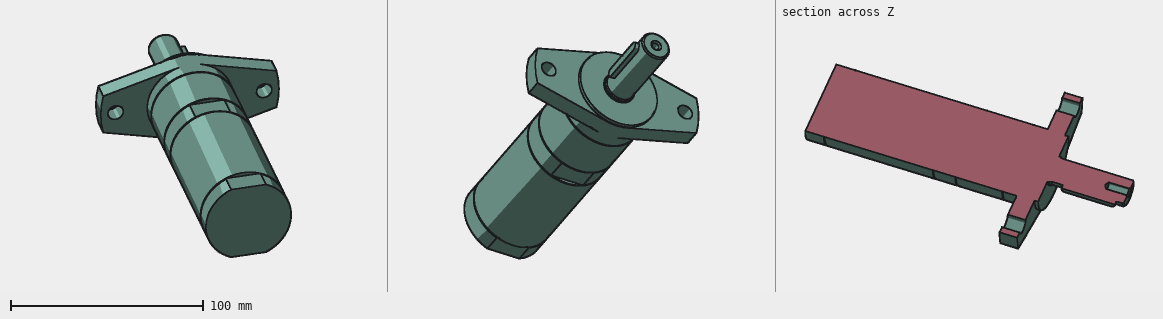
import cadquery as cq
import math

PILOT_START = 42.0
FLANGE_START = 44.0
FLANGE_END = 54.0
BODY_JOINT = 61.5
FRONT_FLATS_START = 88.0
FRONT_FLATS_END = 100.0
REAR_FLATS_START = 160.5
OVERALL_LENGTH = 171.5

BODY_DIAMETER = 46.0
PILOT_DIAMETER = 45.0
ACROSS_FLATS = 42.0
SEAM_WIDTH = 0.5
SEAM_DIAMETER = 45.8
SEAM_STARTS = [
    BODY_JOINT,
    FRONT_FLATS_START - SEAM_WIDTH,
    FRONT_FLATS_END,
    REAR_FLATS_START,
]

SHAFT_DIAMETER = 16.0
TIP_CHAMFER = 0.8
COLLAR_DIAMETER = 17.5
COLLAR_WIDTH = 1.0
COLLAR_TAPER = 1.0
TAPER_END_DIAMETER = 16.95
CENTER_HOLE_DIAMETER = 4.13
CENTER_HOLE_DEPTH = 12.0
DRILL_POINT_HALF_ANGLE = math.radians(59)
COUNTERSINK_DIAMETER = 5.9

KEY_WIDTH = 5.0
KEY_LENGTH = 30.0
KEY_START = 4.0
KEY_TOP = 10.2
KEY_HEIGHT = 5.0

FLANGE_DIAMETER = 96.0
FLANGE_SLOPE = math.radians(15)
BOLT_SPACING = 80.0
BOLT_HOLE_DIAMETER = 8.3


def cylinder(start, end, diameter):
    """Solid cylinder on the motor axis between two X stations."""
    return cq.Workplane("YZ", origin=(start, 0, 0)).circle(diameter / 2).extrude(end - start)


def make_shaft():
    """Shaft with a chamfered tip, a tapered collar and a countersunk center hole."""
    shaft_radius = SHAFT_DIAMETER / 2
    collar_radius = COLLAR_DIAMETER / 2
    collar_start = PILOT_START - COLLAR_WIDTH
    profile = [
        (0, 0),
        (0, shaft_radius - TIP_CHAMFER),
        (TIP_CHAMFER, shaft_radius),
        (collar_start - COLLAR_TAPER, shaft_radius),
        (collar_start, TAPER_END_DIAMETER / 2),
        (collar_start, collar_radius),
        (PILOT_START, collar_radius),
        (PILOT_START, 0),
    ]
    shaft = cq.Workplane("XY").polyline(profile).close().revolve(360, (0, 0, 0), (1, 0, 0))

    hole_radius = CENTER_HOLE_DIAMETER / 2
    sink_radius = COUNTERSINK_DIAMETER / 2
    drill_point = hole_radius / math.tan(DRILL_POINT_HALF_ANGLE)
    hole_profile = [
        (0, 0),
        (0, sink_radius),
        (sink_radius - hole_radius, hole_radius),
        (CENTER_HOLE_DEPTH, hole_radius),
        (CENTER_HOLE_DEPTH + drill_point, 0),
    ]
    hole = cq.Workplane("XY").polyline(hole_profile).close().revolve(360, (0, 0, 0), (1, 0, 0))
    return shaft.cut(hole)


def make_key():
    """Round-ended key seated in the shaft."""
    center_x = KEY_START + KEY_LENGTH / 2
    return (
        cq.Workplane("XZ", origin=(center_x, KEY_TOP, 0))
        .slot2D(KEY_LENGTH, KEY_WIDTH)
        .extrude(KEY_HEIGHT)
    )


def make_flange():
    """Diamond flange: sides tangent to the body, ends rounded about the axis."""
    body_radius = BODY_DIAMETER / 2
    end_radius = FLANGE_DIAMETER / 2
    tangent_y = body_radius * math.sin(FLANGE_SLOPE)
    tangent_z = body_radius * math.cos(FLANGE_SLOPE)
    corner_angle = math.pi / 2 - FLANGE_SLOPE - math.acos(body_radius / end_radius)
    corner_y = end_radius * math.cos(corner_angle)
    corner_z = end_radius * math.sin(corner_angle)
    outline = (
        cq.Workplane("YZ", origin=(FLANGE_START, 0, 0))
        .moveTo(-tangent_y, tangent_z)
        .threePointArc((0, body_radius), (tangent_y, tangent_z))
        .lineTo(corner_y, corner_z)
        .threePointArc((end_radius, 0), (corner_y, -corner_z))
        .lineTo(tangent_y, -tangent_z)
        .threePointArc((0, -body_radius), (-tangent_y, -tangent_z))
        .lineTo(-corner_y, -corner_z)
        .threePointArc((-end_radius, 0), (-corner_y, corner_z))
        .close()
    )
    plate = outline.extrude(FLANGE_END - FLANGE_START)
    holes = (
        cq.Workplane("YZ", origin=(FLANGE_START, 0, 0))
        .pushPoints([(-BOLT_SPACING / 2, 0), (BOLT_SPACING / 2, 0)])
        .circle(BOLT_HOLE_DIAMETER / 2)
        .extrude(FLANGE_END - FLANGE_START)
    )
    return plate.cut(holes)


def cut_wrench_flats(body, start, end):
    """Mill a pair of flats, facing +Z and -Z, between two X stations."""
    blank = cylinder(start, end, 2 * BODY_DIAMETER)
    keep = cq.Workplane("XY").box(2 * OVERALL_LENGTH, 2 * BODY_DIAMETER, ACROSS_FLATS)
    return body.cut(blank.cut(keep))


def cut_seam(body, start):
    """Turn a shallow ring groove at a housing joint."""
    end = start + SEAM_WIDTH
    ring = cylinder(start, end, 2 * BODY_DIAMETER).cut(cylinder(start, end, SEAM_DIAMETER))
    return body.cut(ring)


def make_housing():
    """Pilot and round body with its wrench flats and joint grooves."""
    body = cylinder(PILOT_START, FLANGE_START, PILOT_DIAMETER)
    body = body.union(cylinder(FLANGE_START, OVERALL_LENGTH, BODY_DIAMETER))
    body = cut_wrench_flats(body, FRONT_FLATS_START, FRONT_FLATS_END)
    body = cut_wrench_flats(body, REAR_FLATS_START, OVERALL_LENGTH)
    for start in SEAM_STARTS:
        body = cut_seam(body, start)
    return body


result = make_housing().union(make_flange()).union(make_shaft()).union(make_key())